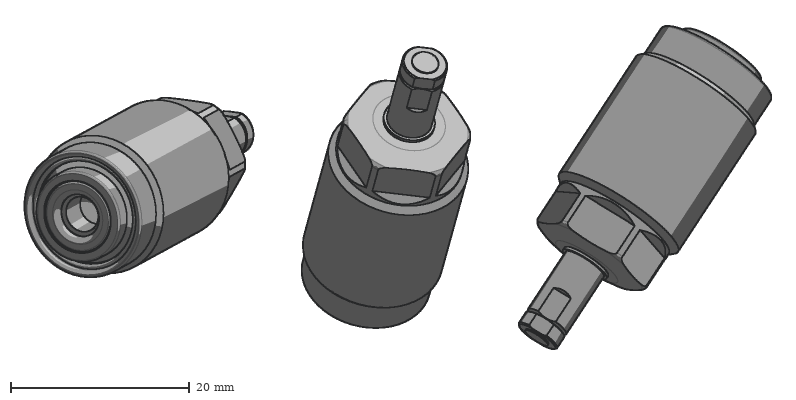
import cadquery as cq
import math


nut_radius = 8.0
lip_radius = 7.37
nut_front_y = 1.17
lip_outer_fillet = 0.25
lip_inner_fillet = 0.45
front_shoulder_y = 5.6
rear_shoulder_y = 21.8
hex_corner_radius = 7.25
hex_half_width = 6.47
hex_floor_y = 23.55
hex_end_y = 27.65
hex_end_fillet = 0.55
nut_rear_y = 28.5
nut_rear_radius = 4.15

ring_section_radius = 0.292
ring_center_radius = 6.28
ring_y = 2.0

tube_radius = 5.25
tube_fillet = 0.25
tube_end_y = 1.9
cone_end_y = 2.57
socket_depth = 7.8
socket_chamfer = 0.1
collar_radius = 2.92
collar_end_y = 28.85
stub_radius = 2.57
stub_end_y = 38.85
stub_chamfer = 0.15
tip_radius = 1.52
body_end_y = 39.0
groove_front_y = 36.78
groove_bottom_y = 37.05
groove_rear_y = 37.15
groove_bottom_radius = 2.25
stub_flat_height = 2.3
stub_flat_start_y = 33.58

insert_radius = 4.1
insert_rim_fillet = 0.25
insert_throat_radius = 2.45
insert_lip_radius = 0.7
insert_step_y = 1.17
insert_bore_radius = 2.03
insert_bore_depth = 4.68
drill_tip_angle = 118.0

nut_bore_radius = ring_center_radius + ring_section_radius
cone_end_radius = ring_center_radius - ring_section_radius
nut_bore_end_y = rear_shoulder_y
tolerance = 0.005


def turned(outline):
    """Revolve a closed outline, drawn as (radius, y), about the Y axis."""
    return outline.close().revolve(360, (0, 0, 0), (0, 1, 0))


def fillet_rim(solid, radius, y, size):
    """Round the circular edge that has the given radius and position along Y."""

    def is_rim(edge):
        return abs(edge.radius() - radius) < tolerance and abs(edge.Center().y - y) < tolerance

    return solid.edges("%CIRCLE").filter(is_rim).fillet(size)


def flat_cutter(height, start_y, end_y, reach):
    """Cutter for a flat at a height above the axis; its floor rises at 45 degrees ahead of start_y."""
    return (
        cq.Workplane("YZ")
        .moveTo(start_y, height)
        .lineTo(end_y, height)
        .lineTo(end_y, height + reach)
        .lineTo(start_y - reach, height + reach)
        .close()
        .extrude(nut_radius, both=True)
    )


def cut_flats(solid, cutter, count):
    """Cut equally spaced flats around the Y axis."""
    for index in range(count):
        solid = solid.cut(cutter.rotate((0, 0, 0), (0, 1, 0), index * 360 / count))
    return solid


def make_nut():
    """Nut with 45-degree shoulders at both ends of its sleeve and six flats at the rear."""
    front_step = nut_radius - lip_radius
    rear_step = nut_radius - hex_corner_radius
    blank = turned(
        cq.Workplane("XY")
        .moveTo(nut_bore_radius, nut_front_y)
        .lineTo(lip_radius, nut_front_y)
        .lineTo(lip_radius, front_shoulder_y - front_step)
        .lineTo(nut_radius, front_shoulder_y)
        .lineTo(nut_radius, rear_shoulder_y)
        .lineTo(hex_corner_radius, rear_shoulder_y + rear_step)
        .lineTo(hex_corner_radius, hex_end_y)
        .lineTo(nut_rear_radius, nut_rear_y)
        .lineTo(collar_radius, nut_rear_y)
        .lineTo(collar_radius, nut_bore_end_y)
        .lineTo(nut_bore_radius, nut_bore_end_y)
    )
    blank = fillet_rim(blank, nut_bore_radius, nut_front_y, lip_inner_fillet)
    blank = fillet_rim(blank, lip_radius, nut_front_y, lip_outer_fillet)
    blank = fillet_rim(blank, hex_corner_radius, hex_end_y, hex_end_fillet)
    cutter = flat_cutter(hex_half_width, hex_floor_y, nut_rear_y, nut_radius - hex_half_width)
    return cut_flats(blank, cutter, 6)


def make_sealing_ring():
    """Ring of round section."""
    section = cq.Workplane("XY").center(ring_center_radius, ring_y).circle(ring_section_radius)
    return section.revolve(360, (-ring_center_radius, 0, 0), (-ring_center_radius, 1, 0))


def make_inner_body():
    """Body that fills the nut, with a socketed tube in front and a grooved stub with two flats behind."""
    blank = turned(
        cq.Workplane("XY")
        .moveTo(0, socket_depth)
        .lineTo(insert_radius, socket_depth)
        .lineTo(insert_radius, socket_chamfer)
        .lineTo(insert_radius + socket_chamfer, 0)
        .lineTo(tube_radius, 0)
        .lineTo(tube_radius, tube_end_y)
        .lineTo(cone_end_radius, cone_end_y)
        .lineTo(nut_bore_radius, cone_end_y)
        .lineTo(nut_bore_radius, nut_bore_end_y)
        .lineTo(collar_radius, nut_bore_end_y)
        .lineTo(collar_radius, collar_end_y)
        .lineTo(stub_radius, collar_end_y)
        .lineTo(stub_radius, groove_front_y)
        .lineTo(groove_bottom_radius, groove_bottom_y)
        .lineTo(stub_radius, groove_rear_y)
        .lineTo(stub_radius, stub_end_y - stub_chamfer)
        .lineTo(stub_radius - stub_chamfer, stub_end_y)
        .lineTo(tip_radius, stub_end_y)
        .lineTo(tip_radius, body_end_y)
        .lineTo(0, body_end_y)
    )
    blank = fillet_rim(blank, tube_radius, 0, tube_fillet)
    cutter = flat_cutter(stub_flat_height, stub_flat_start_y, body_end_y, collar_radius - stub_flat_height)
    return cut_flats(blank, cutter, 2)


def make_insert():
    """Bushing with a blind drilled bore behind a mouth whose lip bulges inward as a round arc."""
    drill_tip_depth = insert_bore_radius / math.tan(math.radians(drill_tip_angle / 2))
    lip_center_radius = insert_throat_radius + insert_lip_radius
    lip_overhang = math.sqrt(insert_lip_radius**2 - (insert_step_y - insert_lip_radius) ** 2)
    blank = turned(
        cq.Workplane("XY")
        .moveTo(0, insert_bore_depth + drill_tip_depth)
        .lineTo(insert_bore_radius, insert_bore_depth)
        .lineTo(insert_bore_radius, insert_step_y)
        .lineTo(lip_center_radius - lip_overhang, insert_step_y)
        .threePointArc((insert_throat_radius, insert_lip_radius), (lip_center_radius, 0))
        .lineTo(insert_radius, 0)
        .lineTo(insert_radius, socket_depth)
        .lineTo(0, socket_depth)
    )
    return fillet_rim(blank, insert_radius, 0, insert_rim_fillet)


nut = make_nut()
sealing_ring = make_sealing_ring()
inner_body = make_inner_body()
insert = make_insert()

result = cq.Compound.makeCompound([nut.val(), sealing_ring.val(), inner_body.val(), insert.val()])